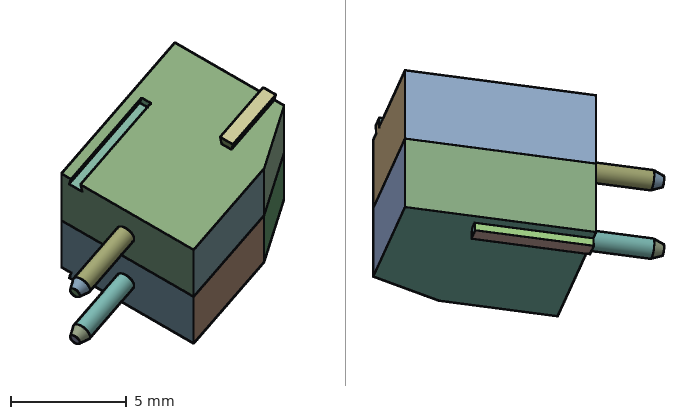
import cadquery as cq


housing_width = 7.0
housing_height = housing_width / 2
housing_depth = 8.5
bevelled_back_width = 5.78
back_length = 3.22
front_length = housing_depth - back_length

dovetail_height = 0.449
rail_x = 0.76
rail_neck_width = 0.49
rail_wide_width = 0.7
tab_x = 5.0
tab_neck_width = 0.52
tab_wide_width = 0.68

overall_depth = 12.3
pin_length = overall_depth - housing_depth
pin_radius = 0.449
pin_tip_radius = 0.26
pin_tip_length = 0.49
pin_x = 3.41


def make_block(bottom_z):
    """Rectangular housing block with one bevelled back corner."""
    outline = [
        (0, 0),
        (housing_width, 0),
        (housing_width, front_length),
        (bevelled_back_width, housing_depth),
        (0, housing_depth),
    ]
    return cq.Workplane("XY").workplane(offset=bottom_z).polyline(outline).close().extrude(housing_height)


def make_dovetail(center_x, neck_z, wide_z, neck_width, wide_width, front_y, length):
    """Dovetail bar along Y that widens from neck_z to wide_z."""
    outline = [
        (center_x - neck_width / 2, neck_z),
        (center_x + neck_width / 2, neck_z),
        (center_x + wide_width / 2, wide_z),
        (center_x - wide_width / 2, wide_z),
    ]
    return cq.Workplane("XZ", origin=(0, front_y, 0)).polyline(outline).close().extrude(-length)


def make_front_dovetail(neck_z):
    """Downward dovetail at the front left, used for both the slot and the rail."""
    wide_z = neck_z - dovetail_height
    return make_dovetail(rail_x, neck_z, wide_z, rail_neck_width, rail_wide_width, 0, front_length)


def make_upper_housing():
    """Upper block with a dovetail slot and a dovetail tab in its top face."""
    top_z = housing_height
    slot = make_front_dovetail(top_z)
    tab = make_dovetail(
        tab_x, top_z, top_z + dovetail_height, tab_neck_width, tab_wide_width, front_length, back_length
    )
    return make_block(0).cut(slot).union(tab)


def make_lower_housing():
    """Lower block with a dovetail rail under its bottom face."""
    bottom_z = -housing_height
    return make_block(bottom_z).union(make_front_dovetail(bottom_z))


def make_pin(center_z):
    """Round pin that stands on the front face and ends in a tapered tip."""
    half_profile = [
        (0, 0),
        (pin_radius, 0),
        (pin_radius, pin_tip_length - pin_length),
        (pin_tip_radius, -pin_length),
        (0, -pin_length),
    ]
    pin = cq.Workplane("XY").polyline(half_profile).close().revolve(360, (0, 0, 0), (0, 1, 0))
    return pin.translate((pin_x, 0, center_z))


upper_housing = make_upper_housing()
lower_housing = make_lower_housing()

pins = [make_pin(center_z) for center_z in (housing_height / 2, -housing_height / 2)]

result = cq.Compound.makeCompound(
    [upper_housing.val(), lower_housing.val(), *[pin.val() for pin in pins]]
)